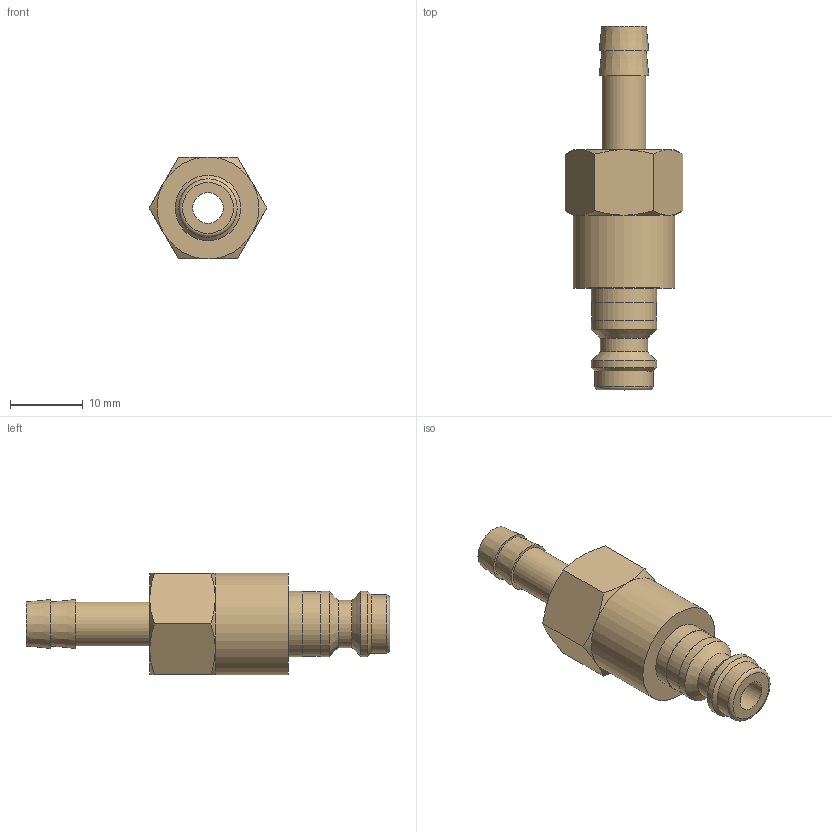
import cadquery as cq
import math


total_length = 50.0
bore_diameter = 4.2

plug_length = 14.0
plug_diameter = 9.0
tip_diameter = 8.0
tip_round_radius = 0.5
tip_length = 2.6
collar_bevel_end = 3.05
collar_end = 4.0
latch_neck_diameter = 6.5
latch_cone_length = (plug_diameter - latch_neck_diameter) / 2
latch_neck_start = collar_end + latch_cone_length
latch_neck_end = 7.1
land_start = latch_neck_end + latch_cone_length
seal_groove_diameter = 8.8
seal_groove_start = 9.6
seal_groove_end = 12.0

body_diameter = 14.0
body_length = 10.0
hex_across_flats = 14.0
hex_sides = 6
hex_length = 9.0
hex_bevel_angle = 30.0

stem_diameter = 6.0
barb_count = 2
barb_length = 3.4
barb_small_diameter = 6.1
barb_large_diameter = 6.8

hex_start = plug_length + body_length
stem_start = hex_start + hex_length
barbs_start = total_length - barb_count * barb_length
hex_across_corners = hex_across_flats / math.cos(math.pi / hex_sides)
hex_corner_height = (hex_across_corners - hex_across_flats) / 2
hex_bevel_length = hex_corner_height * math.tan(math.radians(hex_bevel_angle))


def revolve_about_y(profile):
    """Turn a closed XY profile a full revolution about the Y axis."""
    return profile.close().revolve(360, (0, 0, 0), (0, 1, 0))


def cylinder(diameter, start, length):
    """Cylinder along +Y beginning at Y = start."""
    return cq.Workplane("XZ", origin=(0, start, 0)).circle(diameter / 2).extrude(-length)


def make_plug():
    tip_radius = tip_diameter / 2
    plug_radius = plug_diameter / 2
    neck_radius = latch_neck_diameter / 2
    groove_radius = seal_groove_diameter / 2
    profile = (
        cq.Workplane("XY")
        .lineTo(tip_radius - tip_round_radius, 0)
        .radiusArc((tip_radius, tip_round_radius), -tip_round_radius)
        .lineTo(tip_radius, tip_length)
        .lineTo(plug_radius, collar_bevel_end)
        .lineTo(plug_radius, collar_end)
        .lineTo(neck_radius, latch_neck_start)
        .lineTo(neck_radius, latch_neck_end)
        .lineTo(plug_radius, land_start)
        .lineTo(plug_radius, seal_groove_start)
        .lineTo(groove_radius, seal_groove_start)
        .lineTo(groove_radius, seal_groove_end)
        .lineTo(plug_radius, seal_groove_end)
        .lineTo(plug_radius, plug_length)
        .lineTo(0, plug_length)
    )
    return revolve_about_y(profile)


def make_hexagon():
    """Hexagon with flats facing +Z and -Z, its corners bevelled at both ends."""
    prism = (
        cq.Workplane("XZ", origin=(0, hex_start, 0))
        .polygon(hex_sides, hex_across_corners)
        .extrude(-hex_length)
    )
    flat_radius = hex_across_flats / 2
    corner_radius = hex_across_corners / 2
    envelope = revolve_about_y(
        cq.Workplane("XY")
        .moveTo(0, hex_start)
        .lineTo(flat_radius, hex_start)
        .lineTo(corner_radius, hex_start + hex_bevel_length)
        .lineTo(corner_radius, stem_start - hex_bevel_length)
        .lineTo(flat_radius, stem_start)
        .lineTo(0, stem_start)
    )
    return prism.intersect(envelope)


def make_barb(start):
    """Cone that narrows toward the free end of the stem."""
    end = start + barb_length
    return revolve_about_y(
        cq.Workplane("XY")
        .moveTo(0, start)
        .lineTo(barb_large_diameter / 2, start)
        .lineTo(barb_small_diameter / 2, end)
        .lineTo(0, end)
    )


fitting = make_plug()
fitting = fitting.union(cylinder(body_diameter, plug_length, body_length))
fitting = fitting.union(make_hexagon())
fitting = fitting.union(cylinder(stem_diameter, stem_start, barbs_start - stem_start))
for barb_index in range(barb_count):
    fitting = fitting.union(make_barb(barbs_start + barb_index * barb_length))

result = fitting.cut(cylinder(bore_diameter, 0, total_length))